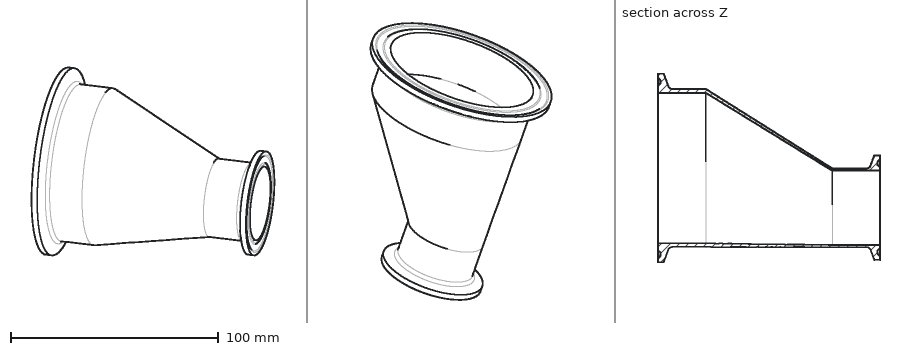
import cadquery as cq
import math

length = 107.0
spigot_length = 23.1

inlet_flange_radius = 91.0 / 2
inlet_tube_radius = 76.3 / 2
inlet_bore_radius = 72.3 / 2
outlet_flange_radius = 50.5 / 2
outlet_tube_radius = 38.1 / 2
outlet_bore_radius = 35.7 / 2
outlet_y = outlet_tube_radius - inlet_tube_radius

rim_thickness = 2.9
clamp_angle = math.radians(20)
neck_fillet = 1.9
groove_inset = 3.9
groove_radius = 1.8
groove_lip_radius = 0.7
groove_angle = math.radians(60)


def ferrule(flange_radius, tube_radius):
    """Solid spigot with a clamp flange, its sealing face at X = 0."""
    cone_end = rim_thickness + (flange_radius - tube_radius) * math.tan(clamp_angle)
    turn = math.pi / 2 - clamp_angle
    tangent = neck_fillet * math.tan(turn / 2)
    slope_start = (
        cone_end - tangent * math.sin(clamp_angle),
        tube_radius + tangent * math.cos(clamp_angle),
    )
    center = (cone_end + tangent, tube_radius + neck_fillet)
    middle = (
        center[0] - neck_fillet * math.sin(turn / 2),
        center[1] - neck_fillet * math.cos(turn / 2),
    )
    return (
        cq.Workplane("XY")
        .moveTo(0, 0)
        .lineTo(0, flange_radius)
        .lineTo(rim_thickness, flange_radius)
        .lineTo(*slope_start)
        .threePointArc(middle, (center[0], tube_radius))
        .lineTo(spigot_length, tube_radius)
        .lineTo(spigot_length, 0)
        .close()
        .revolve(360, (0, 0, 0), (1, 0, 0))
    )


def gasket_groove(flange_radius):
    """Ring cutter: a round groove with rounded lips in the face at X = 0."""
    middle_radius = flange_radius - groove_inset
    depth = (groove_radius + groove_lip_radius) * (1 - math.cos(groove_angle))
    lip_center = (groove_radius + groove_lip_radius) * math.sin(groove_angle)
    lip_depth = groove_lip_radius * (1 - math.cos(groove_angle))
    lip_middle_depth = groove_lip_radius * (1 - math.cos(groove_angle / 2))
    lip_middle = lip_center - groove_lip_radius * math.sin(groove_angle / 2)
    arc_half = groove_radius * math.sin(groove_angle)
    return (
        cq.Workplane("XY")
        .moveTo(0, middle_radius + lip_center)
        .threePointArc((lip_middle_depth, middle_radius + lip_middle), (lip_depth, middle_radius + arc_half))
        .threePointArc((depth, middle_radius), (lip_depth, middle_radius - arc_half))
        .threePointArc((lip_middle_depth, middle_radius - lip_middle), (0, middle_radius - lip_center))
        .close()
        .revolve(360, (0, 0, 0), (1, 0, 0))
    )


def at_outlet(shape):
    """Turn a shape built at X = 0 to face +X on the outlet axis."""
    return shape.mirror("YZ").translate((length, outlet_y, 0))


def oblique_cone(inlet_radius, outlet_radius):
    """Ruled transition between the two offset circles."""
    return (
        cq.Workplane("YZ", origin=(spigot_length, 0, 0))
        .circle(inlet_radius)
        .workplane(offset=length - 2 * spigot_length)
        .center(outlet_y, 0)
        .circle(outlet_radius)
        .loft(ruled=True)
    )


def spigot_bore(radius):
    return cq.Workplane("YZ").circle(radius).extrude(spigot_length)


body = (
    oblique_cone(inlet_tube_radius, outlet_tube_radius)
    .union(ferrule(inlet_flange_radius, inlet_tube_radius))
    .union(at_outlet(ferrule(outlet_flange_radius, outlet_tube_radius)))
)

passage = (
    oblique_cone(inlet_bore_radius, outlet_bore_radius)
    .union(spigot_bore(inlet_bore_radius))
    .union(at_outlet(spigot_bore(outlet_bore_radius)))
)

result = (
    body.cut(passage)
    .cut(gasket_groove(inlet_flange_radius))
    .cut(at_outlet(gasket_groove(outlet_flange_radius)))
)